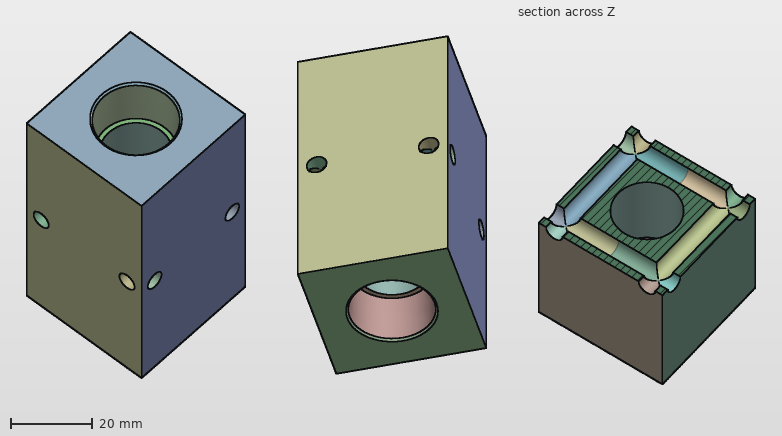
import cadquery as cq

width = 38.1
height = 69.85

bore_diameter = 17.9
port_depth = 13.35
port_mouth_diameter = 21.5
port_floor_diameter = 20.55
chamfer_diameter = 22.6
chamfer_depth = (chamfer_diameter - port_mouth_diameter) / 2

hole_diameter = 5.0
hole_spacing = 28.4


def make_port():
    """Port cutter: a chamfered mouth at the top face, tapering to a flat floor."""
    floor_z = height / 2 - port_depth
    profile = [
        (0, floor_z),
        (port_floor_diameter / 2, floor_z),
        (port_mouth_diameter / 2, height / 2 - chamfer_depth),
        (chamfer_diameter / 2, height / 2),
        (0, height / 2),
    ]
    return cq.Workplane("XZ").polyline(profile).close().revolve(360, (0, 0), (0, 1))


def make_hole_pair(plane):
    """Two parallel hole cutters through the full width, normal to the plane."""
    centers = [(-hole_spacing / 2, 0), (hole_spacing / 2, 0)]
    holes = cq.Workplane(plane).pushPoints(centers).circle(hole_diameter / 2)
    return holes.extrude(width / 2, both=True)


block = cq.Workplane("XY").box(width, width, height)
bore = cq.Workplane("XY").circle(bore_diameter / 2).extrude(height / 2, both=True)
top_port = make_port()
bottom_port = top_port.mirror("XY")

result = block.cut(bore).cut(top_port).cut(bottom_port)
for plane in ("XZ", "YZ"):
    result = result.cut(make_hole_pair(plane))